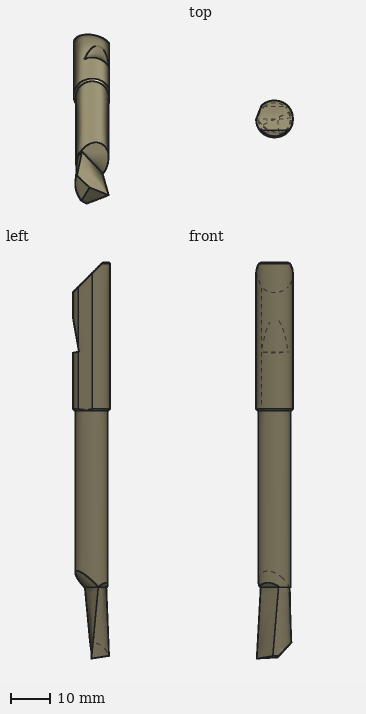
import math

import cadquery as cq

total_length = 101.6
shank_diameter = 9.53
shank_length = 38.1
neck_diameter = 8.43
tip_length = 18.3

shank_radius = shank_diameter / 2
neck_radius = neck_diameter / 2
shank_bottom = total_length - shank_length

bottom_chamfer = shank_radius - neck_radius
top_chamfer = 0.35
top_land_edge_y = -2.95

flat_normal_angle = 158.5
flat_distance = 4.37

notch_top = 87.3
notch_length = 8.6
notch_angle = 10

root_radius = 3.96
root_face_angles = (206, 285, 26)
end_radius = 4.58
end_face_angles = (180, 264, 0)
end_relief_angle = 6
end_edge_angle = 3
tip_chamfer_start_x = 0.9
tip_chamfer_start_z = 0.45
tip_chamfer_angle = 47

clearance = 20


def polar(radius, angle):
    return (radius * math.cos(math.radians(angle)), radius * math.sin(math.radians(angle)))


def half_space(origin, normal):
    """Large block on the positive side of a plane."""
    return cq.Workplane(cq.Plane(origin, normal=normal)).rect(2 * clearance, 2 * clearance).extrude(clearance)


def shank():
    body = cq.Workplane("XY", origin=(0, 0, shank_bottom)).circle(shank_radius).extrude(shank_length)
    body = body.faces("<Z").chamfer(bottom_chamfer)
    body = body.faces(">Z").chamfer(top_chamfer)

    body = body.cut(half_space((0, top_land_edge_y, total_length), (0, 1, 1)))

    body = body.cut(
        cq.Workplane("XY")
        .box(clearance, clearance, total_length, centered=(False, True, False))
        .translate((flat_distance, 0, 0))
        .rotate((0, 0, 0), (0, 0, 1), flat_normal_angle)
    )
    return body.cut(notch())


def notch():
    """Wedge whose square wall meets the ramp at its deepest point."""
    slope = math.tan(math.radians(notch_angle))
    depth = notch_length * slope
    floor_y = shank_radius - depth
    floor_z = notch_top - notch_length
    return (
        cq.Workplane("YZ")
        .moveTo(floor_y, floor_z)
        .lineTo(floor_y + 2 * depth, floor_z - 2 * depth * slope)
        .lineTo(floor_y + 2 * depth, floor_z + 2 * notch_length)
        .close()
        .extrude(clearance, both=True)
    )


def neck():
    body = cq.Workplane("XY", origin=(0, 0, tip_length)).circle(neck_radius)
    body = body.extrude(shank_bottom - tip_length)

    edge_angle, flank_angle, back_angle = root_face_angles
    rake_normal = polar(1, back_angle + 90)
    body = body.cut(half_space((0, 0, tip_length), (*rake_normal, -1)))

    flank_normal = polar(1, (edge_angle + flank_angle) / 2)
    flank_point = polar(root_radius, edge_angle)
    return body.cut(half_space((*flank_point, tip_length), (*flank_normal, -1)))


def tip_section(height, radius, angles):
    """Flat flank, round back and flat rake face, with corners at the three angles."""
    start, middle, end = angles
    arc_middle = (middle + end + 360) / 2
    return (
        cq.Workplane("XY", origin=(0, 0, height))
        .moveTo(*polar(radius, start))
        .lineTo(*polar(radius, middle))
        .threePointArc(polar(radius, arc_middle), polar(radius, end))
        .close()
        .val()
    )


def tip():
    """Flaring, twisting blade between its root and end sections."""
    root = tip_section(tip_length, root_radius, root_face_angles)
    end = tip_section(0, end_radius, end_face_angles)
    body = cq.Workplane(cq.Solid.makeLoft([root, end], True))

    relief = math.tan(math.radians(end_relief_angle))
    edge_slope = math.tan(math.radians(end_edge_angle))
    body = body.cut(half_space((-end_radius, 0, 0), (edge_slope, -relief, -1)))

    chamfer_slope = math.tan(math.radians(tip_chamfer_angle))
    chamfer_origin = (tip_chamfer_start_x, 0, tip_chamfer_start_z)
    return body.cut(half_space(chamfer_origin, (chamfer_slope, 0, -1)))


result = shank().union(neck()).union(tip())